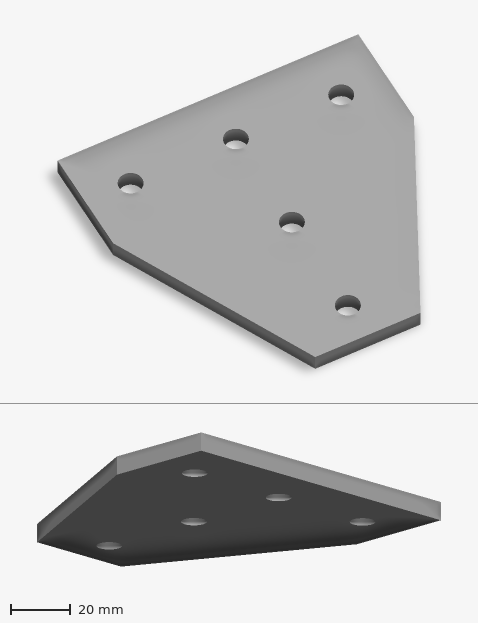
import cadquery as cq

plate_size = 114.3
thickness = 6.4
end_width = 40.0
shoulder_length = 39.8
hole_diameter = 8.7
hole_pitch = 40.0
hole_inset = 20.0

half_width = plate_size / 2
half_end = end_width / 2
outline = [
    (0, -half_width),
    (shoulder_length, -half_width),
    (plate_size, -half_end),
    (plate_size, half_end),
    (shoulder_length, half_width),
    (0, half_width),
]
plate = cq.Workplane("XY").polyline(outline).close().extrude(thickness)

cross_holes = [(hole_inset, row * hole_pitch) for row in (-1, 0, 1)]
stem_holes = [(hole_inset + step * hole_pitch, 0) for step in (1, 2)]
hole_cutters = (
    cq.Workplane("XY")
    .pushPoints(cross_holes + stem_holes)
    .circle(hole_diameter / 2)
    .extrude(thickness)
)

result = plate.cut(hole_cutters)